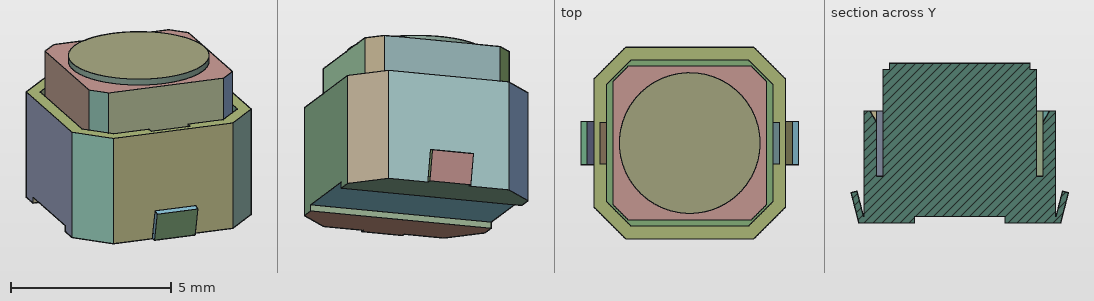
import cadquery as cq
import math

body_size = 6.0
body_height = 3.5
corner_bevel = 1.0

wall = 0.4
cavity_size = body_size - 2 * wall
cavity_bevel = corner_bevel - wall * (2 - math.sqrt(2))
cavity_depth = 2.04

notch_reach = 0.205
notch_width = 1.3
notch_slope = math.radians(60)

button_size = 4.8
button_bevel = 0.475
button_top = 4.8
cap_diameter = 4.4
total_height = 5.0

channel_width = 2.815
channel_height = 0.2

span = 6.8
terminal_width = 1.36
terminal_thickness = 0.2
terminal_height = 1.0
terminal_lean = math.radians(14.4)


def bevelled_block(size, bevel, bottom, top):
    """Square block with its four upright edges bevelled."""
    block = cq.Workplane("XY").workplane(offset=bottom).rect(size, size).extrude(top - bottom)
    return block.edges("|Z").chamfer(bevel)


def side_prism(points, width):
    """Prism of an XZ profile, centred on Y = 0."""
    return cq.Workplane("XZ").polyline(points).close().extrude(width / 2, both=True)


def notch():
    """Wedge cut into the +X cavity wall, deepest at the cavity face."""
    inner = cavity_size / 2
    outer = inner + notch_reach
    notch_depth = notch_reach * math.tan(notch_slope)
    return side_prism(
        [(inner, body_height), (outer, body_height), (inner, body_height - notch_depth)],
        notch_width,
    )


def terminal():
    """Leaning strip on the +X side, with its lower end cut flush with the base."""
    tip_x = span / 2
    tip_z = terminal_height - terminal_thickness * math.sin(terminal_lean)
    foot_x = tip_x - tip_z * math.tan(terminal_lean)
    inner_tip_x = tip_x - terminal_thickness * math.cos(terminal_lean)
    wall_x = body_size / 2
    wall_z = terminal_height - (inner_tip_x - wall_x) / math.tan(terminal_lean)
    return side_prism(
        [(wall_x, 0), (foot_x, 0), (tip_x, tip_z), (inner_tip_x, terminal_height), (wall_x, wall_z)],
        terminal_width,
    )


cavity_floor = body_height - cavity_depth
housing = bevelled_block(body_size, corner_bevel, 0, body_height)
housing = housing.cut(bevelled_block(cavity_size, cavity_bevel, cavity_floor, body_height))
channel = cq.Workplane("XY").rect(channel_width, body_size).extrude(channel_height)
housing = housing.cut(channel)

for mirrored in (False, True):
    side_notch = notch()
    side_terminal = terminal()
    if mirrored:
        side_notch = side_notch.mirror("YZ")
        side_terminal = side_terminal.mirror("YZ")
    housing = housing.cut(side_notch).union(side_terminal)

button = bevelled_block(button_size, button_bevel, cavity_floor, button_top)
cap = (
    cq.Workplane("XY")
    .workplane(offset=button_top)
    .circle(cap_diameter / 2)
    .extrude(total_height - button_top)
)

result = housing.union(button).union(cap)